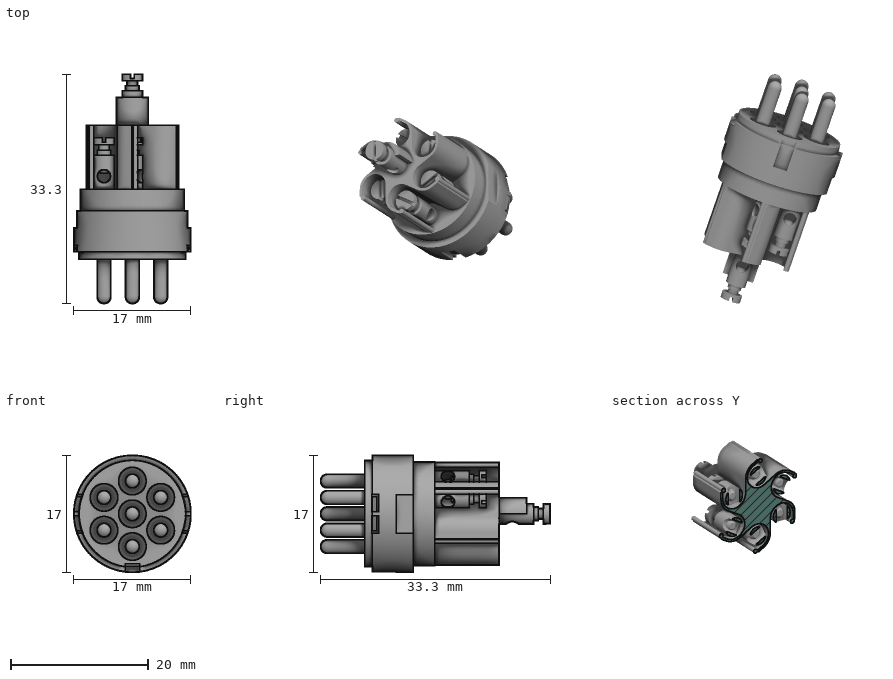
import cadquery as cq
import math


FACE_RADIUS = 7.75
FLANGE_RADIUS = 8.5
REAR_RADIUS = 7.55
FLANGE_FRONT = 1.1
FLANGE_BACK = 7.05
BASE_BACK = 10.2

LUG_BACK = 4.6
FLAT_DISTANCE = 8.03

POCKET_FRONT = 1.0
POCKET_BACK = 2.05
POCKET_FLOOR_RADIUS = 7.65
RAMP_BACK = 1.75
POCKET_INNER_Z = 0.3
POCKET_OUTER_Z = 2.81
RAMP_OUTER_Z = 2.45

KEYWAY_WIDTH = 2.1
KEYWAY_FACE_FLOOR = 7.27
KEYWAY_FLANGE_FLOOR = 7.57

CONTACT_COUNT = 6
CONTACT_ANGLE = 360 / CONTACT_COUNT
PITCH_RADIUS = 4.75
PIN_RADIUS = 1.0
PIN_LENGTH = 6.4
PIN_RECESS_RADIUS = 2.0
PIN_RECESS_DEPTH = 0.8

TERMINAL_RADIUS = 1.48
OUTER_TERMINAL_END = 15.15
CENTRE_TERMINAL_END = 24.5
COLLAR_RADIUS = 1.0
COLLAR_LENGTH = 0.7
NECK_RADIUS = 0.78
OUTER_NECK_LENGTH = 0.8
CENTRE_NECK_LENGTH = 0.7
HEAD_LENGTH = 1.0
SLOT_WIDTH = 0.5
SLOT_DEPTH = 0.65
WIRE_HOLE_RADIUS = 0.95
WIRE_HOLE_SETBACK = 3.07
SCREW_TIP_RADIUS = 0.5
SCREW_TIP_LENGTH = 0.5

CARRIER_BACK = 19.5
SHELL_RADIUS = 2.33
SHELL_SHIFT = 0.17
CHANNEL_HALF_WIDTH = (
    (PITCH_RADIUS + SHELL_SHIFT) * math.cos(math.radians(CONTACT_ANGLE / 2)) - SHELL_RADIUS
)
WALL_END = 1.25
LIP_RADIUS = 0.35
LIP_U = 1.53
LIP_V = 1.83
LIP_CHAMFER = 0.3
CENTRE_SHELL_BACK = 23.5

CLEARANCE = 1.0
OVERLAP = 0.5


def profile_plane(y):
    """Plane with local X along +X, local Y along +Z and its normal along -Y."""
    return cq.Workplane("XZ", origin=(0, y, 0))


def cylinder(radius, front, back, x=0, z=0):
    return profile_plane(back).center(x, z).circle(radius).extrude(back - front)


def box(x_range, y_range, z_range):
    size = [high - low for low, high in (x_range, y_range, z_range)]
    corner = cq.Vector(x_range[0], y_range[0], z_range[0])
    return cq.Workplane("XY").box(*size, centered=False).translate(corner)


def turn(shape, angle):
    """Turn about the part's axis, from +X toward +Z."""
    return shape.rotate((0, 0, 0), (0, -1, 0), angle)


def around_axis(shape):
    """The shape repeated at every outer contact position."""
    copies = [turn(shape, i * CONTACT_ANGLE) for i in range(CONTACT_COUNT)]
    combined = copies[0]
    for copy in copies[1:]:
        combined = combined.union(copy)
    return combined


def make_base():
    base = cylinder(FACE_RADIUS, 0, FLANGE_BACK)
    base = base.union(cylinder(FLANGE_RADIUS, FLANGE_FRONT, FLANGE_BACK))
    base = base.union(cylinder(REAR_RADIUS, FLANGE_BACK, BASE_BACK))
    reach = FLANGE_RADIUS + CLEARANCE
    flat = box((FLAT_DISTANCE, reach), (LUG_BACK, FLANGE_BACK), (-reach, reach))
    base = base.cut(flat).cut(turn(flat, 180))
    return base.cut(make_pockets()).cut(make_keyway())


def make_pockets():
    """Four ratchet pockets: a deep slot at the back and outer end, and a ramp open to the front."""
    reach = FLANGE_RADIUS + CLEARANCE
    ring = cylinder(reach, POCKET_FRONT, POCKET_BACK)
    ring = ring.cut(cylinder(POCKET_FLOOR_RADIUS, POCKET_FRONT, POCKET_BACK))
    ramp_profile = [
        (POCKET_FLOOR_RADIUS, POCKET_FRONT),
        (FLANGE_RADIUS, RAMP_BACK),
        (FLANGE_RADIUS, POCKET_FRONT),
    ]
    ramp = cq.Workplane("XY").polyline(ramp_profile).close().revolve(360, (0, 0), (0, 1))
    x_range = (0, reach)
    y_range = (POCKET_FRONT, POCKET_BACK)
    ramp_zone = box(x_range, (POCKET_FRONT, RAMP_BACK), (POCKET_INNER_Z, RAMP_OUTER_Z))
    end_zone = box(x_range, y_range, (RAMP_OUTER_Z, POCKET_OUTER_Z))
    back_zone = box(x_range, (RAMP_BACK, POCKET_BACK), (POCKET_INNER_Z, POCKET_OUTER_Z))
    pocket = ramp.intersect(ramp_zone)
    pocket = pocket.union(ring.intersect(end_zone.union(back_zone)))
    pair = pocket.union(pocket.mirror("XY"))
    return pair.union(pair.mirror("YZ"))


def make_keyway():
    x_range = (-KEYWAY_WIDTH / 2, KEYWAY_WIDTH / 2)
    bottom = -(FLANGE_RADIUS + CLEARANCE)
    face_part = box(x_range, (0, FLANGE_FRONT), (bottom, -KEYWAY_FACE_FLOOR))
    flange_part = box(x_range, (FLANGE_FRONT, LUG_BACK), (bottom, -KEYWAY_FLANGE_FLOOR))
    return face_part.union(flange_part)


def make_carrier_section(front, back):
    """Shell, lipped outer wall and wire channel of the carrier for the outer terminal on +X.

    The channel opens 60 degrees away from the radius, u along local X and v along local Z.
    """
    length = back - front
    plane = profile_plane(back)
    wall_inner = CHANNEL_HALF_WIDTH
    chamfer_u = WALL_END + LIP_CHAMFER
    chamfer_v = SHELL_RADIUS - LIP_CHAMFER
    wall_outline = [
        (SHELL_SHIFT, wall_inner),
        (SHELL_SHIFT, SHELL_RADIUS),
        (WALL_END, SHELL_RADIUS),
        (chamfer_u, chamfer_v),
        (LIP_U, wall_inner),
    ]
    shell = plane.center(SHELL_SHIFT, 0).circle(SHELL_RADIUS).extrude(length)
    wall = plane.polyline(wall_outline).close().extrude(length)
    lip = cylinder(LIP_RADIUS, front, back, LIP_U, LIP_V)
    channel = plane.center(SHELL_SHIFT, 0).circle(CHANNEL_HALF_WIDTH).extrude(length)
    mouth = box(
        (SHELL_SHIFT, SHELL_SHIFT + PITCH_RADIUS),
        (front, back),
        (-CHANNEL_HALF_WIDTH, CHANNEL_HALF_WIDTH),
    )
    channel = channel.union(mouth)
    return [place_terminal(shape) for shape in (shell, wall.union(lip), channel)]


def place_terminal(shape):
    """Move a shape from the part's axis to the outer position on +X, its opening turned by -60."""
    return turn(shape, -CONTACT_ANGLE).translate((PITCH_RADIUS, 0, 0))


def make_carrier():
    front = BASE_BACK - OVERLAP
    shell, wall, channel = make_carrier_section(front, CARRIER_BACK)
    opening = math.radians(-CONTACT_ANGLE)
    corner_x = PITCH_RADIUS + SHELL_SHIFT * math.cos(opening)
    corner_z = SHELL_SHIFT * math.sin(opening) + SHELL_RADIUS
    corner_radius = math.hypot(corner_x, corner_z)
    corner_angle = math.degrees(math.atan2(corner_z, corner_x))
    core = profile_plane(CARRIER_BACK).polygon(CONTACT_COUNT, 2 * corner_radius)
    core = turn(core.extrude(CARRIER_BACK - front), corner_angle)
    return core.union(around_axis(shell)).cut(around_axis(channel)).union(around_axis(wall))


def make_centre_shell():
    """Half cylinder over the upper side of the centre terminal."""
    front = BASE_BACK - OVERLAP
    shell = cylinder(SHELL_RADIUS, front, CENTRE_SHELL_BACK)
    reach = SHELL_RADIUS + CLEARANCE
    upper_half = box((-reach, reach), (front, CENTRE_SHELL_BACK), (0, reach))
    return shell.intersect(upper_half)


def make_terminal(body_end, neck_length):
    """Terminal on the part's axis, without its wire hole; the screw slot runs along X."""
    collar_end = body_end + COLLAR_LENGTH
    neck_end = collar_end + neck_length
    head_end = neck_end + HEAD_LENGTH
    terminal = cylinder(TERMINAL_RADIUS, BASE_BACK - OVERLAP, body_end)
    terminal = terminal.union(cylinder(COLLAR_RADIUS, body_end, collar_end))
    terminal = terminal.union(cylinder(NECK_RADIUS, collar_end, neck_end))
    terminal = terminal.union(cylinder(TERMINAL_RADIUS, neck_end, head_end))
    slot = box(
        (-TERMINAL_RADIUS, TERMINAL_RADIUS),
        (head_end - SLOT_DEPTH, head_end),
        (-SLOT_WIDTH / 2, SLOT_WIDTH / 2),
    )
    return terminal.cut(slot)


def make_wire_hole(body_end):
    """Cross hole through a terminal, less the tapered screw tip that reaches into it."""
    hole_y = body_end - WIRE_HOLE_SETBACK
    hole = cq.Workplane("YZ", origin=(-TERMINAL_RADIUS, hole_y, 0))
    hole = hole.circle(WIRE_HOLE_RADIUS).extrude(TERMINAL_RADIUS + SHELL_RADIUS)
    tip_base = hole_y + WIRE_HOLE_RADIUS
    tip_end = tip_base - SCREW_TIP_LENGTH
    tip_outline = [
        (0, tip_base),
        (WIRE_HOLE_RADIUS, tip_base),
        (SCREW_TIP_RADIUS, tip_end),
        (0, tip_end),
    ]
    tip = cq.Workplane("XY").polyline(tip_outline).close().revolve(360, (0, 0), (0, 1))
    return hole.cut(tip)


def make_pin():
    """Round-nosed pin on the part's axis, rooted in the floor of its recess."""
    nose_centre = -PIN_LENGTH + PIN_RADIUS
    shank = cylinder(PIN_RADIUS, nose_centre, PIN_RECESS_DEPTH + OVERLAP)
    nose = cq.Workplane("XY").sphere(PIN_RADIUS).translate((0, nose_centre, 0))
    return shank.union(nose)


def make_connector():
    to_pitch = (PITCH_RADIUS, 0, 0)
    first_angle = CONTACT_ANGLE / 2
    recess = cylinder(PIN_RECESS_RADIUS, 0, PIN_RECESS_DEPTH)
    recesses = recess.union(turn(around_axis(recess.translate(to_pitch)), first_angle))
    pin = make_pin()
    pins = pin.union(turn(around_axis(pin.translate(to_pitch)), first_angle))

    outer_terminal = make_terminal(OUTER_TERMINAL_END, OUTER_NECK_LENGTH)
    outer_terminal = outer_terminal.cut(make_wire_hole(OUTER_TERMINAL_END))
    outer_terminals = turn(around_axis(place_terminal(outer_terminal)), first_angle)
    centre_terminal = turn(make_terminal(CENTRE_TERMINAL_END, CENTRE_NECK_LENGTH), -90)
    centre_hole = turn(make_wire_hole(CENTRE_TERMINAL_END), -90)

    connector = make_base().cut(recesses).union(pins)
    connector = connector.union(turn(make_carrier(), first_angle)).union(make_centre_shell())
    return connector.union(outer_terminals).union(centre_terminal).cut(centre_hole)


result = make_connector()